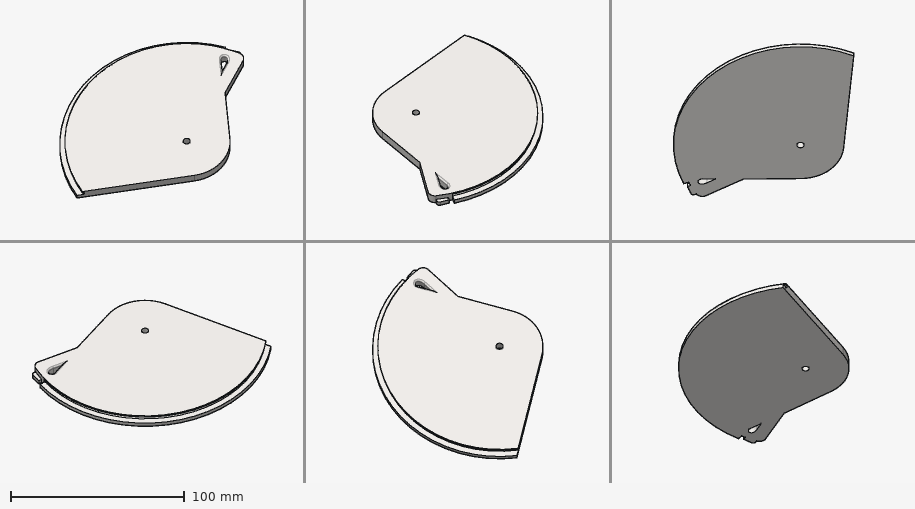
import cadquery as cq
import math

thickness = 5.5
flange_height = 2.6
flange_radius = 73.0
rim_radius = 70.0
hub_radius = 25.0
pivot_diameter = 4.0

lower_side_angle = -64
upper_side_angle = 20.5

arm_bend_distance = 41.4
arm_side_angle = 81.4
arm_corner_radius = 4.0

groove_radius = 1.0
groove_height = 3.5

flange_end_x = 2.6
tab_start_x = 5.3
tab_end_x = 12.4
tab_outer_y = 71.8
tab_corner_radius = 1.6

teardrop_tip = cq.Vector(5.9, 54.6)
teardrop_left = cq.Vector(3.1, 61.7)
teardrop_crown = (3.8, 64.5)
teardrop_right = cq.Vector(6.8, 60.4)
teardrop_rounding = 1.0


def polar(radius, degrees):
    angle = math.radians(degrees)
    return cq.Vector(radius * math.cos(angle), radius * math.sin(angle))


def lower_side_end_angle(radius):
    """Direction of the point where the lower side meets a circle about the pivot."""
    return lower_side_angle - math.degrees(math.acos(hub_radius / radius)) + 360


def make_body():
    bend_offset = math.degrees(math.acos(hub_radius / arm_bend_distance))
    bend = polar(arm_bend_distance, upper_side_angle + bend_offset)

    arm_direction = polar(1, arm_side_angle)
    along = bend.dot(arm_direction)
    arm_length = math.sqrt(along**2 - arm_bend_distance**2 + rim_radius**2) - along
    arm_corner = bend + arm_direction * arm_length

    rim_end_angle = lower_side_end_angle(rim_radius)
    arm_corner_angle = math.degrees(math.atan2(arm_corner.y, arm_corner.x))
    rim_middle = polar(rim_radius, (rim_end_angle + arm_corner_angle) / 2)
    hub_middle = polar(hub_radius, (lower_side_angle + upper_side_angle) / 2)

    body = (
        cq.Workplane("XY")
        .moveTo(*polar(rim_radius, rim_end_angle).toTuple()[:2])
        .lineTo(*polar(hub_radius, lower_side_angle).toTuple()[:2])
        .threePointArc(hub_middle, polar(hub_radius, upper_side_angle))
        .lineTo(bend.x, bend.y)
        .lineTo(arm_corner.x, arm_corner.y)
        .threePointArc(rim_middle, polar(rim_radius, rim_end_angle))
        .close()
        .extrude(thickness)
    )
    corner_edge = cq.selectors.NearestToPointSelector((arm_corner.x, arm_corner.y, thickness / 2))
    return body.edges("|Z").edges(corner_edge).fillet(arm_corner_radius)


def make_groove():
    """Ring segment from the flange end to past the lower side."""
    start_angle = math.degrees(math.acos(flange_end_x / rim_radius))
    overrun = 5
    sweep = lower_side_end_angle(rim_radius) + overrun - start_angle
    return (
        cq.Workplane("XZ")
        .center(rim_radius, groove_height)
        .circle(groove_radius)
        .revolve(sweep, (-rim_radius, 0), (-rim_radius, 1))
        .rotate((0, 0, 0), (0, 0, 1), start_angle)
    )


def make_flange():
    tip_angle = lower_side_end_angle(flange_radius)
    end_angle = math.degrees(math.acos(flange_end_x / flange_radius))
    tip = polar(flange_radius, tip_angle)
    hub_touch = polar(hub_radius, lower_side_angle)
    return (
        cq.Workplane("XY")
        .moveTo(flange_end_x, 0)
        .lineTo(hub_touch.x, hub_touch.y)
        .lineTo(tip.x, tip.y)
        .threePointArc(polar(flange_radius, (tip_angle + end_angle) / 2), polar(flange_radius, end_angle))
        .close()
        .extrude(flange_height)
    )


def make_tab():
    root_y = rim_radius - arm_corner_radius
    return (
        cq.Workplane("XY")
        .box(tab_end_x - tab_start_x, tab_outer_y - root_y, flange_height, centered=False)
        .edges("|Z and >X and >Y")
        .fillet(tab_corner_radius)
        .translate((tab_start_x, root_y, 0))
    )


def cut_teardrop(plate):
    """Cut the teardrop through the plate and round over its top edge."""
    head_points = [teardrop_crown, teardrop_right.toTuple()[:2]]
    side_directions = [teardrop_left - teardrop_tip, teardrop_tip - teardrop_right]
    teardrop = (
        cq.Workplane("XY")
        .moveTo(teardrop_tip.x, teardrop_tip.y)
        .lineTo(teardrop_left.x, teardrop_left.y)
        .spline(head_points, tangents=[d.normalized() for d in side_directions], includeCurrent=True)
        .close()
        .extrude(thickness)
    )
    box = teardrop.val().BoundingBox()
    margin = 0.1
    hole_edges = cq.selectors.BoxSelector(
        (box.xmin - margin, box.ymin - margin, thickness - margin),
        (box.xmax + margin, box.ymax + margin, thickness + margin),
        boundingbox=True,
    )
    return plate.cut(teardrop).edges(hole_edges).fillet(teardrop_rounding)


pivot_hole = cq.Workplane("XY").circle(pivot_diameter / 2).extrude(thickness)

plate = make_body().cut(make_groove()).union(make_flange()).union(make_tab())
result = cut_teardrop(plate).cut(pivot_hole)